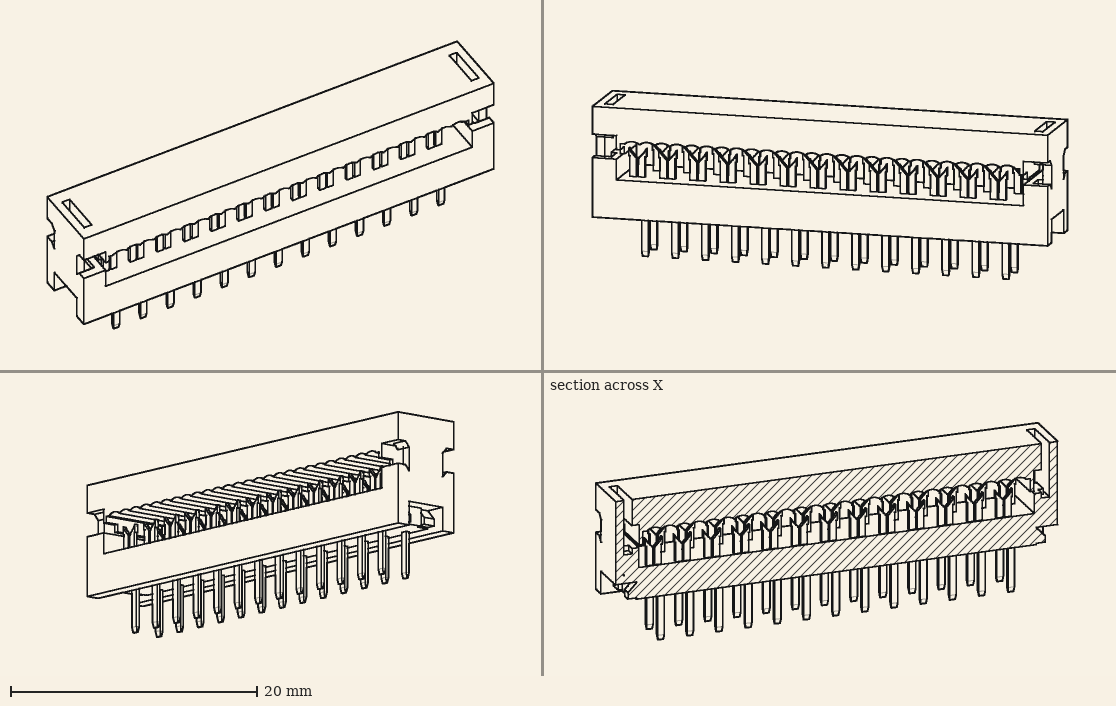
import cadquery as cq


length = 38.47
width = 6.0
height = 9.25
half_length = length / 2
half_width = width / 2

arm_half_width = 1.8
arm_thickness = 0.75
latch_pocket_depth = 1.42
arm_inner_y = half_length - arm_thickness
pocket_inner_y = half_length - latch_pocket_depth

base_top = 4.95
cover_bottom = 6.92
cover_chamfer_bottom = 6.45
cover_chamfer_width = 0.42
lead_in_bottom = 4.5
lead_in_width = 0.42

hook_half_width = 0.77
hook_length = 0.45

channel_floor = 3.25
channel_half_length = 17.2
end_tab_thickness = 0.35
end_tab_bottom = 5.77
end_tab_core_bottom = 5.15
grooves_half_length = channel_half_length - end_tab_thickness
groove_cusp = 6.27
groove_crown = 6.5

underside_floor = 0.45
end_recess_top = 1.95
ledge_inner_x = 0.75
ledge_setback = 1.08
ledge_bottom = 0.58
ledge_front_top = 1.15
ramp_length = 0.77

wire_pitch = 1.27
wire_count = 26
contact_thickness = 0.3
row_x = 1.27
contact_top = 5.58
mouth_half_width = 0.75
knee_height = 5.27
knee_half_width = 0.55
shoulder_height = 4.92
slot_top = 4.77
slot_width = 0.15
pin_width = 0.58
pin_bottom = -3.4
pin_tip_height = 0.45
pin_tip_width = 0.45
pin_tip_thickness = 0.1

wire_ys = [(wire_count - 1) * wire_pitch / 2 - i * wire_pitch for i in range(wire_count)]


def block(x0, x1, y0, y1, z0, z1):
    """Box between two opposite corners."""
    return cq.Workplane("XY").box(x1 - x0, y1 - y0, z1 - z0, centered=False).translate((x0, y0, z0))


def across_block(y0, y1, z0, z1):
    """Box spanning the full housing width."""
    return block(-half_width, half_width, y0, y1, z0, z1)


def both_ends(tool):
    return tool.union(tool.mirror("XZ"))


def both_sides(tool):
    return tool.union(tool.mirror("YZ"))


def cable_channel():
    """Opening for the ribbon cable, with one round groove per wire in its ceiling."""
    profile = cq.Workplane("YZ", origin=(-half_width, 0, 0)).moveTo(-grooves_half_length, channel_floor)
    profile = profile.lineTo(grooves_half_length, channel_floor).lineTo(grooves_half_length, groove_cusp)
    profile = profile.lineTo(wire_ys[0] + wire_pitch / 2, groove_cusp)
    for y in wire_ys:
        profile = profile.threePointArc((y, groove_crown), (y - wire_pitch / 2, groove_cusp))
    channel = profile.lineTo(-grooves_half_length, groove_cusp).close().extrude(width)

    below_tab = across_block(grooves_half_length, channel_half_length, channel_floor, end_tab_bottom)
    tab_core = block(-arm_half_width, arm_half_width, grooves_half_length, channel_half_length,
                     end_tab_core_bottom, end_tab_bottom)
    return channel.union(both_ends(below_tab.cut(tab_core)))


def end_gaps():
    """Gap between base and cover at each end, leaving only the latch arm standing."""
    window = across_block(channel_half_length, arm_inner_y, base_top, cover_chamfer_bottom)
    window = window.union(across_block(channel_half_length, pocket_inner_y, base_top, cover_bottom))
    side_notch = (
        cq.Workplane("XZ", origin=(0, half_length, 0))
        .polyline([
            (half_width, base_top),
            (arm_half_width + lead_in_width, base_top),
            (arm_half_width, lead_in_bottom),
            (arm_half_width, cover_chamfer_bottom),
            (arm_half_width + cover_chamfer_width, cover_bottom),
            (half_width, cover_bottom),
        ])
        .close()
        .extrude(latch_pocket_depth)
    )
    return both_ends(window.union(both_sides(side_notch)))


def latch_pockets():
    """Slots through the cover behind each arm, with a hook left standing at the bottom."""
    slot = block(-arm_half_width, arm_half_width, pocket_inner_y, arm_inner_y, lead_in_bottom, height)
    hook = block(-hook_half_width, hook_half_width, pocket_inner_y, pocket_inner_y + hook_length,
                 lead_in_bottom, base_top)
    return both_ends(slot.cut(hook))


def underside():
    """Channel between the side skirts, with a recess at each end that holds two ramped ledges."""
    channel = block(-arm_half_width, arm_half_width, -half_length, half_length, 0, underside_floor)
    centre_recess = block(-ledge_inner_x, ledge_inner_x, pocket_inner_y, half_length, 0, end_recess_top)
    ledge_front_y = half_length - ledge_setback
    ramp_top_y = ledge_front_y - ramp_length
    space_around_ledge = (
        cq.Workplane("YZ", origin=(ledge_inner_x, 0, 0))
        .polyline([
            (half_length, 0),
            (half_length, end_recess_top),
            (ramp_top_y, end_recess_top),
            (ledge_front_y, ledge_front_top),
            (ledge_front_y, ledge_bottom),
            (ramp_top_y, ledge_bottom),
            (ramp_top_y, 0),
        ])
        .close()
        .extrude(arm_half_width - ledge_inner_x)
    )
    return channel.union(both_ends(centre_recess.union(both_sides(space_around_ledge))))


def contact(x, y):
    """Flat plate split by a wire slot that opens into a forked mouth."""
    plate_half_width = wire_pitch / 2
    slot_half_width = slot_width / 2
    right_edge = [
        (slot_half_width, channel_floor),
        (slot_half_width, slot_top),
        (knee_half_width, knee_height),
        (mouth_half_width, contact_top),
        (mouth_half_width, shoulder_height),
        (plate_half_width, shoulder_height),
        (plate_half_width, channel_floor),
    ]
    left_edge = [(-across, z) for across, z in reversed(right_edge)]
    root = [(plate_half_width, underside_floor), (-plate_half_width, underside_floor)]
    return (
        cq.Workplane("YZ", origin=(x - contact_thickness / 2, y, 0))
        .polyline(right_edge + root + left_edge)
        .close()
        .extrude(contact_thickness)
    )


def pin(x, y):
    """Rectangular solder pin with a tapered tip."""
    tip_top = pin_bottom + pin_tip_height
    shank = block(x - contact_thickness / 2, x + contact_thickness / 2,
                  y - pin_width / 2, y + pin_width / 2, tip_top, underside_floor)
    tip = (
        cq.Workplane("XY", origin=(x, y, pin_bottom))
        .rect(pin_tip_thickness, pin_tip_width)
        .workplane(offset=pin_tip_height)
        .rect(contact_thickness, pin_width)
        .loft()
    )
    return shank.union(tip)


result = across_block(-half_length, half_length, 0, height)
for opening in (cable_channel(), end_gaps(), latch_pockets(), underside()):
    result = result.cut(opening)

for first_y, second_y in zip(wire_ys[0::2], wire_ys[1::2]):
    pin_y = (first_y + second_y) / 2
    result = result.union(contact(-row_x, first_y)).union(contact(row_x, second_y))
    result = result.union(pin(-row_x, pin_y)).union(pin(row_x, pin_y))